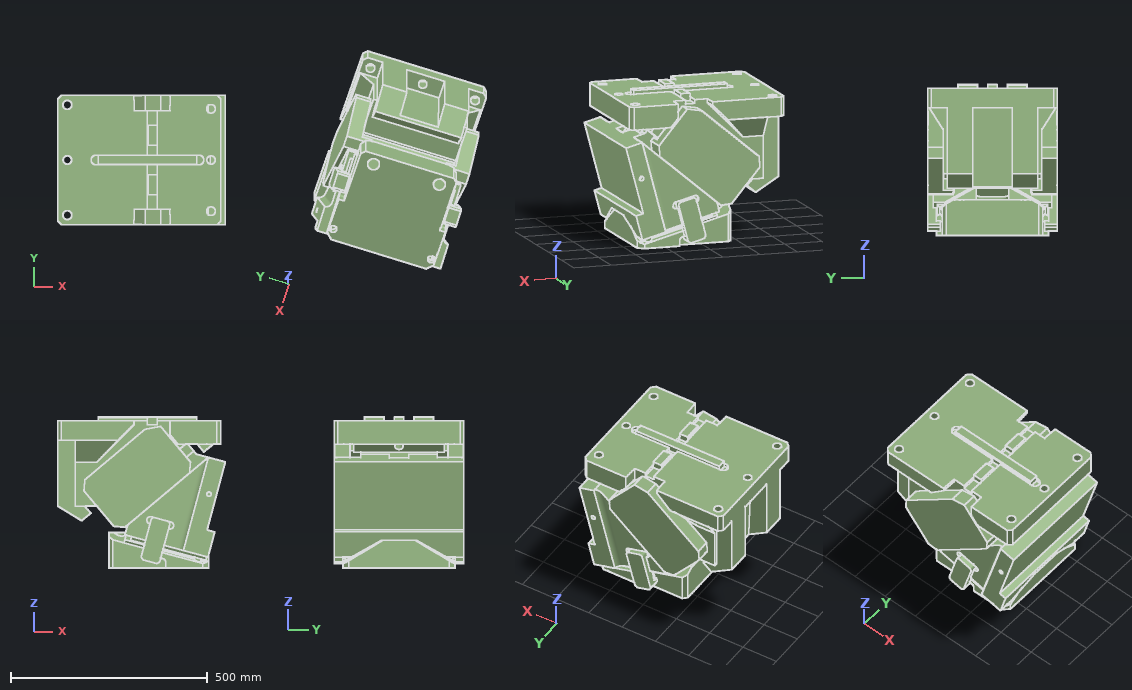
import cadquery as cq
import math


HALF_WIDTH = 165.0
TRACK_ANGLE = 15.0
GUIDE_ANGLE = 40.0
ROOF_ANGLE = 30.0
ROOF_SLOPE = math.tan(math.radians(ROOF_ANGLE))
FAR = 600.0
OVERLAP = 1.0

track_cos = math.cos(math.radians(TRACK_ANGLE))
track_sin = math.sin(math.radians(TRACK_ANGLE))
guide_cos = math.cos(math.radians(GUIDE_ANGLE))
guide_sin = math.sin(math.radians(GUIDE_ANGLE))

TRACK_X, TRACK_Z = 172.5, 84.1
track_plane = cq.Plane((TRACK_X, 0, TRACK_Z), (track_cos, 0, -track_sin), (0, -1, 0))
section_plane = cq.Plane((TRACK_X, 0, TRACK_Z), (0, 1, 0), (track_cos, 0, -track_sin))

SLIDER_HALF = 150.0
SLIDER_START = -1.5
SLIDER_FOOT_LENGTH = 217.5
FOOT_STEP = 20.0
FOOT_HEIGHT = 66.2
SLIDER_HEIGHT = 245.2
HEAD_LENGTH = 45.0
head_end = SLIDER_FOOT_LENGTH - FOOT_STEP
apex_u = head_end - HEAD_LENGTH
guide_fall = math.tan(math.radians(GUIDE_ANGLE + TRACK_ANGLE))
slider_left_height = SLIDER_HEIGHT - (apex_u - SLIDER_START) * guide_fall

APEX_X = TRACK_X + apex_u * track_cos + SLIDER_HEIGHT * track_sin
APEX_Z = TRACK_Z - apex_u * track_sin + SLIDER_HEIGHT * track_cos
guide_plane = cq.Plane((APEX_X, 0, APEX_Z), (guide_cos, 0, guide_sin), (0, -1, 0))

NECK_HALF = 97.0
FLANGE_HALF = 124.0
RAIL_TOP_END = 18.0
RAIL_BOTTOM_END = 256.5
NECK_HEIGHT = 36.0
FLANGE_THICKNESS = 27.0
rail_height = NECK_HEIGHT + FLANGE_THICKNESS

front_plane = cq.Plane((0, 0, 0), (1, 0, 0), (0, -1, 0))


def centred(plane, points, half_width):
    """Prism of a side profile, symmetric about Y = 0."""
    return cq.Workplane(plane).polyline(points).close().extrude(half_width, both=True)


def side_slab(plane, points, inner, outer):
    """Prism of a side profile on the -Y side between two distances from Y = 0."""
    return cq.Workplane(plane).workplane(offset=inner).polyline(points).close().extrude(outer - inner)


def both_sides(body):
    return body.union(body.mirror("XZ"))


def rectangle(x0, y0, x1, y1):
    return [(x0, y0), (x1, y0), (x1, y1), (x0, y1)]


PLATE_LENGTH = 415.0
PLATE_TOP = 374.3
PLATE_THIN = 50.0
PLATE_THICK = 59.5
PLATE_CORNER = 10.0
thin_bottom = PLATE_TOP - PLATE_THIN
thick_bottom = PLATE_TOP - PLATE_THICK
WEB_HALF = 125.0
WEB_BOTTOM = 157.5
LEG_HALF = 115.0
LEG_DEPTH = 45.0
FOOT_LOW = (61.5, 120.0)
DRAFT = 2.0

WINDOW_LEFT = 195.3
WINDOW_RIGHT = 285.3
WINDOW_LEFT_DROP = 9.8
WINDOW_RIGHT_DROP = 37.0
WINDOW_DEPTH = 230.0


def make_plate():
    profile = [(0, PLATE_TOP), (PLATE_LENGTH, PLATE_TOP), (PLATE_LENGTH, thick_bottom),
               (WINDOW_RIGHT, thick_bottom), (WINDOW_RIGHT, thin_bottom), (0, thin_bottom)]
    plate = centred(front_plane, profile, HALF_WIDTH)
    plan = (cq.Workplane("XY").box(PLATE_LENGTH, 2 * HALF_WIDTH, PLATE_TOP, centered=(False, True, False))
            .edges("|Z").chamfer(PLATE_CORNER))
    return plate.intersect(plan)


def make_web():
    """Central block between the legs and the slider rail, with flared gussets under the plate."""
    rail_top_z = APEX_Z + rail_height / guide_cos

    def rail_x(z):
        return APEX_X + (z - rail_top_z) * guide_cos / guide_sin

    web = centred(front_plane, [(LEG_DEPTH, WEB_BOTTOM), (rail_x(WEB_BOTTOM), WEB_BOTTOM),
                                (rail_x(thick_bottom), thick_bottom), (rail_x(thick_bottom), PLATE_TOP),
                                (LEG_DEPTH, PLATE_TOP)], WEB_HALF)
    flare_reach, flare_bottom = 160.5, 268.5
    flare = (cq.Workplane("YZ").workplane(offset=LEG_DEPTH)
             .polyline([(-WEB_HALF, flare_bottom), (-flare_reach, thin_bottom), (-WEB_HALF, thin_bottom)])
             .close().extrude(WINDOW_LEFT - LEG_DEPTH))
    return web.union(both_sides(flare))


def make_legs():
    """Front wall with a hooked foot."""
    foot_tip, foot_back, hook_root = (85.2, 139.6), 70.8, 155.0
    outline = [(0, thin_bottom), (0, WEB_BOTTOM), FOOT_LOW, foot_tip, (foot_back, hook_root),
               (foot_back, thin_bottom)]
    return centred(front_plane, outline, LEG_HALF)


def make_leg_recess():
    """Drafted recess that splits the front wall into two legs."""
    half_width, top_depth = 50.5, 46.9
    low_depth = top_depth + (thin_bottom - FOOT_LOW[1]) * math.tan(math.radians(DRAFT))
    return centred(front_plane, [(0, thin_bottom), (top_depth, thin_bottom), (low_depth, FOOT_LOW[1]),
                                 (0, FOOT_LOW[1])], half_width)


def make_rail_channel():
    """Channel that clears the slider flange."""
    return centred(guide_plane, rectangle(-RAIL_BOTTOM_END, NECK_HEIGHT, 0, rail_height), WEB_HALF)


def make_stop():
    """Wedge-shaped stop below the right end of the plate."""
    stop_start, stop_tip, stop_tip_z, stop_end = 355.0, 371.7, 294.8, 396.0
    return centred(front_plane, [(stop_start, thick_bottom + OVERLAP), (stop_start, thick_bottom),
                                 (stop_tip, stop_tip_z), (stop_end, thick_bottom),
                                 (stop_end, thick_bottom + OVERLAP)], LEG_HALF)


def make_window():
    """Drafted clearance window around a guide plate."""
    right_run = WINDOW_DEPTH - WINDOW_RIGHT_DROP
    points = [(WINDOW_LEFT, PLATE_TOP + OVERLAP), (WINDOW_LEFT, PLATE_TOP - WINDOW_LEFT_DROP),
              (WINDOW_LEFT - (WINDOW_DEPTH - WINDOW_LEFT_DROP), PLATE_TOP - WINDOW_DEPTH),
              (WINDOW_RIGHT + right_run * guide_sin / guide_cos, PLATE_TOP - WINDOW_DEPTH),
              (WINDOW_RIGHT, PLATE_TOP - WINDOW_RIGHT_DROP), (WINDOW_RIGHT, PLATE_TOP + OVERLAP)]
    window = (cq.Workplane(front_plane).workplane(offset=WEB_HALF)
              .polyline(points).close().extrude(HALF_WIDTH - WEB_HALF + OVERLAP, taper=-DRAFT))
    return both_sides(window)


def make_guide_plates():
    """Bevelled side plates with an inner lip that carries the slider flange."""
    top_end, bottom_end, height, bevel, long_bevel = -42.5, -297.0, 158.0, 20.0, 35.0
    outer, lip_inner, lip_height = 164.0, 100.0, 31.5
    outline = [(bottom_end + bevel, 0), (top_end - bevel, 0), (top_end, bevel), (top_end, height - bevel),
               (top_end - long_bevel, height), (bottom_end + bevel, height),
               (bottom_end, height - bevel), (bottom_end, bevel)]
    lip_outline = [(bottom_end + bevel, 0), (top_end - bevel, 0), (top_end, bevel), (top_end, lip_height),
                   (bottom_end, lip_height), (bottom_end, bevel)]
    plate = side_slab(guide_plane, outline, WEB_HALF, outer)
    lip = side_slab(guide_plane, lip_outline, lip_inner, WEB_HALF)
    return both_sides(plate.union(lip))


KEY_WIDTH = 25.0
KEY_RISE = 9.7
KEYWAY_DEPTH = 9.7
KEY_CHAMFER = 1.5
KEY_X = 241.0
LONG_KEY_X = 228.5
keyway_floor = PLATE_TOP - KEYWAY_DEPTH
key_height = KEYWAY_DEPTH + KEY_RISE


def make_keyways():
    slot_length = 286.0
    long_slot = (cq.Workplane("XY").workplane(offset=keyway_floor).center(LONG_KEY_X, 0)
                 .slot2D(slot_length, KEY_WIDTH).extrude(key_height))
    cross_slot = (cq.Workplane("XY").workplane(offset=keyway_floor).center(KEY_X, 0)
                  .rect(KEY_WIDTH, 2 * HALF_WIDTH).extrude(key_height))
    return long_slot.union(cross_slot)


def make_keys():
    long_key_length, cross_key_length, cross_key_y = 251.0, 50.0, 62.8
    level = cq.Workplane("XY").workplane(offset=keyway_floor)
    keys = (level.center(LONG_KEY_X, 0).rect(long_key_length, KEY_WIDTH).extrude(key_height)
            .faces(">Z").edges("<Y").chamfer(KEY_CHAMFER))
    for y in (-cross_key_y, cross_key_y):
        key = (level.center(KEY_X, y).rect(KEY_WIDTH, cross_key_length).extrude(key_height)
               .faces(">Z").edges("<X").chamfer(KEY_CHAMFER))
        keys = keys.union(key)
    return keys


def make_mount_holes():
    screw_diameter, dowel_diameter = 22.0, 21.0
    left_x, right_x, left_y, right_y = 25.0, 390.0, 140.0, 130.0
    top = cq.Workplane("XY").workplane(offset=PLATE_TOP)
    screws = [(left_x, -left_y), (left_x, left_y), (right_x, -right_y), (right_x, right_y)]
    holes = top.pushPoints(screws).circle(screw_diameter / 2).extrude(-PLATE_TOP)
    dowels = top.pushPoints([(left_x, 0), (right_x, 0)]).circle(dowel_diameter / 2).extrude(-PLATE_TOP)
    return holes.union(dowels)


mount = make_plate().union(make_web()).cut(make_window())
mount = mount.union(make_legs()).cut(make_leg_recess())
mount = mount.cut(make_rail_channel()).union(make_stop())
mount = mount.cut(make_keyways()).cut(make_mount_holes())
mount = mount.union(make_keys()).union(make_guide_plates())

GROOVE_EDGE = 121.0
GROOVE_FLAT_HALF = 45.0
CHEEK_FILLET = 15.0
CLIP_START, CLIP_END = 53.0, 102.0
CLIP_INNER = 142.5
CLIP_TOP, CLIP_BOTTOM = 61.7, -49.5


def make_slider_body():
    profile = [(SLIDER_START, 0), (SLIDER_FOOT_LENGTH, 0), (SLIDER_FOOT_LENGTH, FOOT_HEIGHT),
               (head_end, FOOT_HEIGHT), (head_end, SLIDER_HEIGHT), (apex_u, SLIDER_HEIGHT),
               (SLIDER_START, slider_left_height)]
    plan_plane = cq.Plane((TRACK_X, 0, TRACK_Z), (track_cos, 0, -track_sin), (track_sin, 0, track_cos))
    cheek_plan = (cq.Workplane(plan_plane)
                  .moveTo(apex_u, -HALF_WIDTH).lineTo(SLIDER_FOOT_LENGTH, -HALF_WIDTH)
                  .lineTo(SLIDER_FOOT_LENGTH, HALF_WIDTH).lineTo(apex_u, HALF_WIDTH)
                  .radiusArc((apex_u - CHEEK_FILLET, SLIDER_HALF), CHEEK_FILLET)
                  .lineTo(SLIDER_START, SLIDER_HALF).lineTo(SLIDER_START, -SLIDER_HALF)
                  .lineTo(apex_u - CHEEK_FILLET, -SLIDER_HALF)
                  .radiusArc((apex_u, -HALF_WIDTH), CHEEK_FILLET).close().extrude(SLIDER_HEIGHT))
    return centred(track_plane, profile, HALF_WIDTH).intersect(cheek_plan)


def make_rail():
    """T-shaped rail: a neck flush with both slider ends and a wider flange above it."""
    top_rise = RAIL_TOP_END * guide_fall
    neck = centred(guide_plane, [(-FAR, 0), (0, 0), (-RAIL_TOP_END, top_rise), (-RAIL_TOP_END, NECK_HEIGHT),
                                 (-FAR, NECK_HEIGHT)], NECK_HALF)
    neck = neck.intersect(centred(track_plane, rectangle(SLIDER_START, 0, FAR, FAR), NECK_HALF))
    flange = centred(guide_plane, rectangle(-RAIL_BOTTOM_END, NECK_HEIGHT, -RAIL_TOP_END, rail_height),
                     FLANGE_HALF)
    return neck.union(flange)


def make_groove_rails():
    """Lips below the slider that continue the groove slope outwards."""
    lip_start, lip_end, lip_outer, lip_tip_y, lip_drop = 16.0, 214.0, 140.0, 134.5, 9.3
    lip = (cq.Workplane(section_plane).workplane(offset=lip_start)
           .polyline([(-GROOVE_EDGE, 0), (-lip_tip_y, -lip_drop), (-lip_outer, 0)]).close()
           .extrude(lip_end - lip_start))
    return both_sides(lip)


def make_groove():
    ceiling = (GROOVE_EDGE - GROOVE_FLAT_HALF) * ROOF_SLOPE
    return (cq.Workplane(section_plane).workplane(offset=-FAR / 2)
            .polyline([(-GROOVE_EDGE, 0), (-GROOVE_FLAT_HALF, ceiling), (GROOVE_FLAT_HALF, ceiling),
                       (GROOVE_EDGE, 0)]).close().extrude(FAR))


def make_clips():
    """Return clips: plates seated on the slider sides whose hooks reach below the base flange."""
    hook_inner, hook_top, corner_round, bottom_bevel = 132.5, -34.0, 8.0, 6.0
    outline = [(CLIP_START, CLIP_TOP), (CLIP_START, CLIP_BOTTOM + bottom_bevel),
               (CLIP_START + bottom_bevel, CLIP_BOTTOM), (CLIP_END - bottom_bevel, CLIP_BOTTOM),
               (CLIP_END, CLIP_BOTTOM + bottom_bevel), (CLIP_END, CLIP_TOP)]
    plate = side_slab(track_plane, outline, hook_inner, HALF_WIDTH)
    plate = plate.edges("|Y").edges(">>Z[-1] or >>Z[-2]").fillet(corner_round)
    above_hook = rectangle(CLIP_START, hook_top, CLIP_END, CLIP_TOP)
    relief = side_slab(track_plane, above_hook, hook_inner, CLIP_INNER)
    return both_sides(plate.cut(relief))


def make_clip_seats():
    """Round-ended cross slots behind the heads of the clips."""
    slot_length, slot_width = 70.0, 18.0
    seat = (cq.Workplane(track_plane).workplane(offset=CLIP_INNER)
            .center((CLIP_START + CLIP_END) / 2, CLIP_TOP - slot_width / 2)
            .slot2D(slot_length, slot_width).extrude(HALF_WIDTH - CLIP_INNER))
    return both_sides(seat)


def make_cheek_holes():
    hole_u, hole_n, hole_diameter, hole_depth = 178.3, 155.2, 11.0, 20.0
    hole = (cq.Workplane(track_plane).workplane(offset=HALF_WIDTH - hole_depth)
            .center(hole_u, hole_n).circle(hole_diameter / 2).extrude(hole_depth))
    return both_sides(hole)


def make_neck_notch():
    """Central notch in the top end of the neck, slightly below the shoulder."""
    notch_half, notch_drop = 25.0, 4.2
    notch = rectangle(-RAIL_TOP_END, -notch_drop, RAIL_TOP_END, NECK_HEIGHT)
    return centred(guide_plane, notch, notch_half)


slider = make_slider_body().union(make_rail()).union(make_groove_rails())
slider = slider.cut(make_groove()).cut(make_neck_notch())
slider = slider.cut(make_clip_seats()).cut(make_cheek_holes()).union(make_clips())

BASE_LEFT, BASE_RIGHT = 130.3, 384.5
BASE_HALF = 128.0
BASE_CORNER = 10.0
BASE_END_CHAMFER = 15.0
FLANGE_OUT = 142.3
PAD_TOP = 90.7
PAD_EDGE = -20.2
LAYER_EDGE_Y, LAYER_EDGE = 134.0, -12.0
LAYER_START = 1.8
FLANGE_EDGE = -19.0
CREST_HALF = 41.5


def roof_prism(start, edge_points):
    """Roof-shaped prism along the track; edge_points run up the +Y side to the crest."""
    right = [(edge_points[0][0], -FAR)] + edge_points
    left = [(-y, n) for y, n in reversed(right)]
    return (cq.Workplane(section_plane).workplane(offset=start).polyline(right + left).close()
            .extrude(FAR))


def layer_height(y):
    return LAYER_EDGE + (LAYER_EDGE_Y - y) * ROOF_SLOPE


def make_base_block():
    """Lower block: a level pad at the left end with sloping shoulders."""
    length = BASE_RIGHT - BASE_LEFT
    block = (cq.Workplane("XY").center(BASE_LEFT, 0)
             .box(length, 2 * BASE_HALF, PAD_TOP, centered=(False, True, False))
             .edges("|Z and <X").chamfer(BASE_CORNER))
    crest = PAD_EDGE + (BASE_HALF - CREST_HALF) * ROOF_SLOPE
    return block.intersect(roof_prism(-FAR / 2, [(BASE_HALF, PAD_EDGE), (CREST_HALF, crest)]))


def make_track_layer():
    """Roof-shaped track layer with undercut outer edges."""
    layer = roof_prism(LAYER_START, [(BASE_HALF, PAD_EDGE), (LAYER_EDGE_Y, LAYER_EDGE),
                                     (CREST_HALF, layer_height(CREST_HALF))])
    length = BASE_RIGHT - BASE_LEFT
    envelope = (cq.Workplane("XY").center(BASE_LEFT, 0)
                .box(length, 2 * FLANGE_OUT, FAR, centered=(False, True, False))
                .edges("|Z and >X").chamfer(BASE_END_CHAMFER))
    return layer.intersect(envelope)


def make_track_pocket():
    """Round-cornered pocket open to the left end of the crest."""
    pocket_end, corner_radius = 280.0, 20.0
    pocket_start = BASE_LEFT - corner_radius
    return (cq.Workplane("XY").workplane(offset=PAD_TOP).center(pocket_start, 0)
            .box(pocket_end - pocket_start, 2 * CREST_HALF, FAR, centered=(False, True, False))
            .edges("|Z").fillet(corner_radius))


def make_side_flanges():
    """Side flanges that overhang the clip hooks and widen the base to the right."""
    flange_start, flange_under, notch_x, notch_radius = 62.0, -33.5, 275.0, 10.0
    flange_inner = BASE_HALF - OVERLAP
    start_x = TRACK_X + flange_start * track_cos + flange_under * track_sin
    start_z = TRACK_Z - flange_start * track_sin + flange_under * track_cos
    notch_z = start_z - (notch_x - start_x) * track_sin / track_cos
    top_x = start_x + FAR * track_sin
    top_z = start_z + FAR * track_cos
    flange = side_slab(front_plane, [(start_x, start_z), (notch_x, notch_z), (notch_x, 0), (BASE_RIGHT, 0),
                                     (BASE_RIGHT, top_z), (top_x, top_z)], flange_inner, FLANGE_OUT)
    notch_corner = cq.selectors.NearestToPointSelector((notch_x, -FLANGE_OUT, notch_z))
    flange = flange.edges("|Y").edges(notch_corner).fillet(notch_radius)
    flange = flange.edges("|Z and >X and <Y").chamfer(BASE_END_CHAMFER)
    crest = FLANGE_EDGE + (FLANGE_OUT - CREST_HALF) * ROOF_SLOPE
    flange = flange.intersect(roof_prism(0, [(FLANGE_OUT, FLANGE_EDGE), (CREST_HALF, crest)]))
    return both_sides(flange)


def make_base_holes():
    screw_x, screw_y, screw_diameter = 157.5, 88.0, 30.0
    dowel_x, dowel_y, dowel_diameter = 356.0, 131.0, 18.0
    screws = (cq.Workplane("XY").pushPoints([(screw_x, -screw_y), (screw_x, screw_y)])
              .circle(screw_diameter / 2).extrude(FAR))
    dowels = (cq.Workplane("XY").pushPoints([(dowel_x, -dowel_y), (dowel_x, dowel_y)])
              .circle(dowel_diameter / 2).extrude(FAR))
    return screws.union(dowels)


base = make_base_block().union(make_track_layer()).union(make_side_flanges())
base = base.cut(make_track_pocket()).cut(make_base_holes())

result = cq.Compound.makeCompound([mount.solids().val(), slider.solids().val(), base.solids().val()])